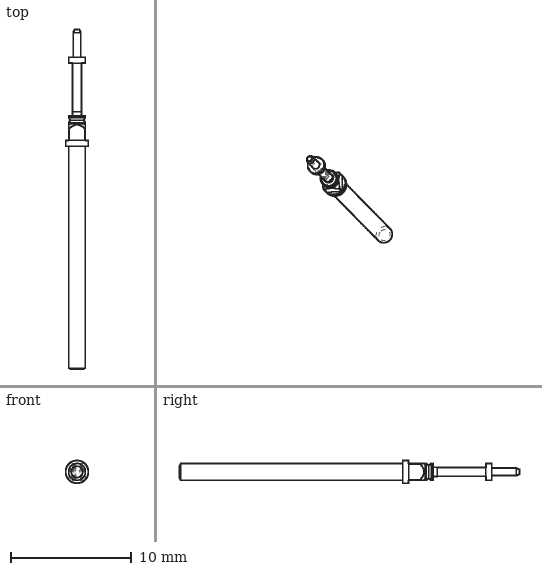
import cadquery as cq

total_length = 28.2
tip_chamfer_length = 0.28
disc_front = 2.3
disc_thickness = 0.5
shank_end = 6.84
thread_front = 7.15
square_front = 7.92
collar_front = 9.2
collar_thickness = 0.5

tip_flat_diameter = 0.4
pin_diameter = 0.64
shank_diameter = 0.75
neck_diameter = 0.78
disc_diameter = 1.4
barrel_diameter = 1.4
collar_diameter = 1.9
rear_flat_diameter = 0.95

ridge_diameter = barrel_diameter
shallow_groove_diameter = 1.26
deep_groove_diameter = 1.1
shallow_groove_length = 0.17
deep_groove_length = square_front - thread_front - 2 * shallow_groove_length

square_side = barrel_diameter
square_corner_diameter = collar_diameter
square_front_diameter = ridge_diameter
square_chamfer_length = 0.3

rear_bevel_length = 0.1


def axial(distance_from_tip):
    """Y position of a point at the given distance behind the tip."""
    return collar_front - distance_from_tip


def cone(front, rear, front_diameter, rear_diameter):
    """Cone or cylinder about the Y axis between two distances from the tip."""
    outline = [
        (0, axial(front)),
        (front_diameter / 2, axial(front)),
        (rear_diameter / 2, axial(rear)),
        (0, axial(rear)),
    ]
    return cq.Workplane("XY").polyline(outline).close().revolve(360, (0, 0), (0, 1))


def cylinder(front, rear, diameter):
    return cone(front, rear, diameter, diameter)


def make_plunger():
    tip = cone(0, tip_chamfer_length, tip_flat_diameter, pin_diameter)
    pin = cylinder(tip_chamfer_length, disc_front, pin_diameter)
    disc_rear = disc_front + disc_thickness
    disc = cylinder(disc_front, disc_rear, disc_diameter)
    shank = cylinder(disc_rear, shank_end, shank_diameter)
    neck = cylinder(shank_end, thread_front, neck_diameter)
    return tip.union(pin).union(disc).union(shank).union(neck)


def v_groove(front, length, root_diameter):
    """Stretch of the barrel that narrows to a root halfway along and widens again."""
    root = front + length / 2
    narrowing = cone(front, root, ridge_diameter, root_diameter)
    widening = cone(root, front + length, root_diameter, ridge_diameter)
    return narrowing.union(widening)


def make_ridged_front():
    deep_front = thread_front + shallow_groove_length
    deep_rear = deep_front + deep_groove_length
    front_groove = v_groove(thread_front, shallow_groove_length, shallow_groove_diameter)
    deep_groove = v_groove(deep_front, deep_groove_length, deep_groove_diameter)
    rear_groove = v_groove(deep_rear, shallow_groove_length, shallow_groove_diameter)
    return front_groove.union(deep_groove).union(rear_groove)


def make_square_section():
    length = collar_front - square_front
    square = cq.Workplane("XY").box(square_side, length, square_side)
    square = square.translate((0, axial(square_front + length / 2), 0))
    chamfer_end = square_front + square_chamfer_length
    corners = cone(square_front, chamfer_end, square_front_diameter, square_corner_diameter)
    corners = corners.union(cylinder(chamfer_end, collar_front, square_corner_diameter))
    return square.intersect(corners)


def make_barrel():
    collar_rear = collar_front + collar_thickness
    collar = cylinder(collar_front, collar_rear, collar_diameter)
    bevel_start = total_length - rear_bevel_length
    tube = cylinder(collar_rear, bevel_start, barrel_diameter)
    bevel = cone(bevel_start, total_length, barrel_diameter, rear_flat_diameter)
    front = make_ridged_front().union(make_square_section())
    return front.union(collar).union(tube).union(bevel)


result = make_plunger().union(make_barrel())